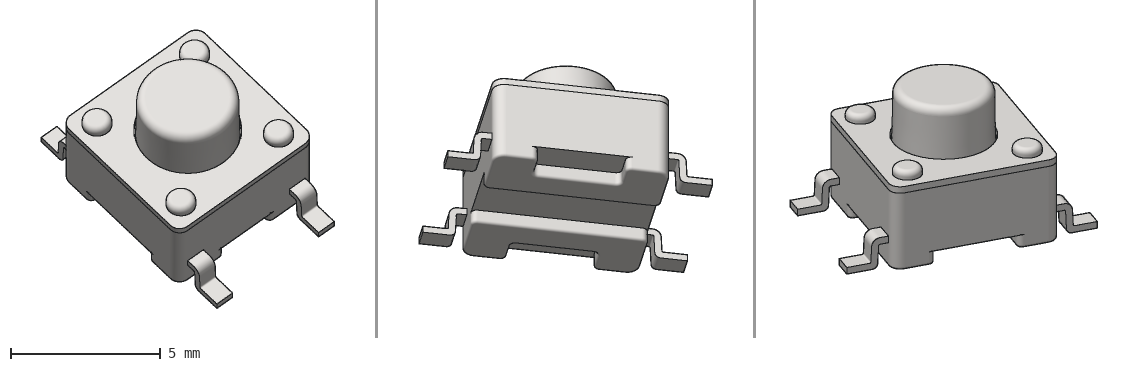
import cadquery as cq
import math


span = 9.0
case_side = 6.0
case_height = 3.15
total_height = 5.0
cover_thickness = 0.24
corner_radius = 0.41

recess_height = 0.5
recess_corner_radius = 0.2
channel_width = 2.0
pocket_width = 3.0
pocket_depth = 1.0
bottom_round = 0.1

button_base_radius = 1.75
button_draft = 1.1
button_round = 0.3
button_hole_radius = 1.8

rivet_radius = 0.5
rivet_height = 0.31
rivet_round = 0.2
rivet_pitch = 4.3

lead_width = 0.69
lead_thickness = 0.25
lead_height = 1.15
heel_reach = 3.64
lead_lean = 2.5
shoulder_round = 0.31
heel_round = 0.2
inner_bend_round = 0.05

half_side = case_side / 2
base_height = case_height - cover_thickness
lead_offset = half_side - corner_radius - lead_width / 2


def block(size_x, size_y, height, center=(0, 0, 0)):
    """Box centred in X and Y on a point, rising from that point."""
    return cq.Workplane("XY", origin=center).rect(size_x, size_y).extrude(height)


def make_case_block():
    """Lower case with its channel and pockets, all outer and recess corners rounded."""
    outer_corners = "((<X or >X) and (<Y or >Y))"
    case = block(case_side, case_side, base_height)
    case = case.cut(block(case_side, channel_width, recess_height))
    for side in (-1, 1):
        case = case.cut(block(pocket_width, 2 * pocket_depth, recess_height, (0, side * half_side, 0)))
    case = case.edges("|Z").edges("not " + outer_corners).fillet(recess_corner_radius)
    case = case.edges("|Z").edges(outer_corners).fillet(corner_radius)
    return case.faces("<Z").edges().fillet(bottom_round)


def make_button():
    """Drafted round button standing on the top of the lower case."""
    height = total_height - base_height
    button = (
        cq.Workplane("XY", origin=(0, 0, base_height))
        .circle(button_base_radius)
        .extrude(height, taper=button_draft)
    )
    return button.faces(">Z").edges().fillet(button_round)


def make_lead(y):
    """Z-bent lead on the +X side, centred on the given Y."""
    lean = math.tan(math.radians(lead_lean))
    upright_width = lead_thickness / math.cos(math.radians(lead_lean))
    underside = lead_height - lead_thickness

    def outer_face(z):
        return heel_reach - (z - lead_thickness) * lean

    def inner_face(z):
        return outer_face(z) - upright_width

    shoulder = (outer_face(lead_height), lead_height)
    foot_corner = (outer_face(lead_thickness), lead_thickness)
    heel = (inner_face(0), 0)
    armpit = (inner_face(underside), underside)
    outline = [
        (half_side, lead_height),
        shoulder,
        foot_corner,
        (span / 2, lead_thickness),
        (span / 2, 0),
        heel,
        armpit,
        (half_side, underside),
    ]
    lead = cq.Workplane("XZ", origin=(0, y + lead_width / 2, 0)).polyline(outline).close().extrude(lead_width)
    bends = [
        (shoulder, shoulder_round),
        (foot_corner, inner_bend_round),
        (heel, heel_round),
        (armpit, inner_bend_round),
    ]
    for (x, z), radius in bends:
        lead = lead.edges(cq.NearestToPointSelector((x, y, z))).fillet(radius)
    return lead


def make_base():
    """Lower case, button and four leads in one piece."""
    base = make_case_block().union(make_button())
    for y in (-lead_offset, lead_offset):
        lead = make_lead(y)
        base = base.union(lead).union(lead.mirror("YZ"))
    return base


def make_cover():
    """Flat cover plate with the button hole and four rivet heads."""
    cover = block(case_side, case_side, cover_thickness, (0, 0, base_height))
    cover = cover.edges("|Z").fillet(corner_radius)
    cover = cover.faces(">Z").workplane().hole(2 * button_hole_radius)
    rivets = (
        cq.Workplane("XY", origin=(0, 0, case_height))
        .rarray(rivet_pitch, rivet_pitch, 2, 2)
        .circle(rivet_radius)
        .extrude(rivet_height)
        .faces(">Z")
        .edges()
        .fillet(rivet_round)
    )
    return cover.union(rivets)


base = make_base()
cover = make_cover()
result = cq.Compound.makeCompound([base.val(), cover.val()])